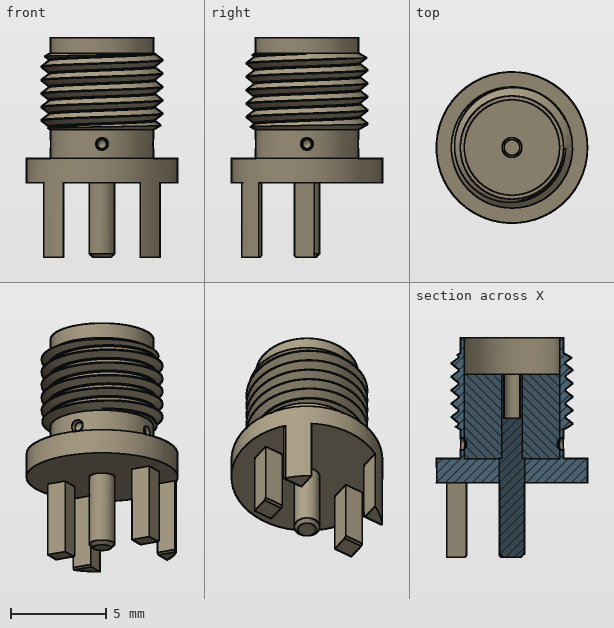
import cadquery as cq
import math

TOTAL_HEIGHT = 11.51
FLANGE_BOTTOM = 3.9
FLANGE_TOP = 5.18
THREAD_BOTTOM = 6.69
THREAD_TOP = 10.7
INSULATOR_TOP = 9.6
DIMPLE_HEIGHT = 5.94

FLANGE_RADIUS = 7.93 / 2
BARREL_RADIUS = 2.7
BORE_RADIUS = 2.5

THREAD_RADIUS = 3.18
ROOT_RADIUS = 2.81
PITCH = 0.7
CREST_WIDTH = 0.05
ROOT_WIDTH = 0.08
FIRST_CREST = 6.83
END_CHAMFER_ANGLE = 30
RIDGE_SINK = 0.03

DIMPLE_RADIUS = 0.32
DIMPLE_COUNT = 4

LEG_WIDTH = 1.05
LEG_INNER_X = 2.0
BOARD_GAP_FRONT = -2.37
BOARD_GAP_BACK = -0.67
LEG_CHAMFER = 0.1

PIN_RADIUS = 0.67
PIN_TIP_CHAMFER = 0.2
SOCKET_OUTER_RADIUS = 0.52
SOCKET_BORE_RADIUS = 0.41
SOCKET_DEPTH = 2.3


def cylinder(radius, bottom, top):
    return cq.Workplane("XY").workplane(offset=bottom).circle(radius).extrude(top - bottom)


def thread_envelope():
    """Solid rod of crest diameter, sloping down to the barrel at both ends of the thread."""
    slope_height = (THREAD_RADIUS - BARREL_RADIUS) * math.tan(math.radians(END_CHAMFER_ANGLE))
    return (
        cq.Workplane("YZ")
        .moveTo(0, THREAD_BOTTOM)
        .lineTo(BARREL_RADIUS, THREAD_BOTTOM)
        .lineTo(THREAD_RADIUS, THREAD_BOTTOM + slope_height)
        .lineTo(THREAD_RADIUS, THREAD_TOP - slope_height)
        .lineTo(BARREL_RADIUS, THREAD_TOP)
        .lineTo(0, THREAD_TOP)
        .close()
        .revolve(360, (0, 0, 0), (0, 1, 0))
    )


def thread_ridge():
    """Right-handed V ridge, rooted inside the core, that runs past both ends of the thread."""
    start = FIRST_CREST - PITCH
    length = PITCH * (math.ceil((THREAD_TOP - start) / PITCH) + 1)
    half_crest = CREST_WIDTH / 2
    half_root = (PITCH - ROOT_WIDTH) / 2
    flank_slope = (half_root - half_crest) / (THREAD_RADIUS - ROOT_RADIUS)
    half_base = half_root + flank_slope * RIDGE_SINK
    base_radius = ROOT_RADIUS - RIDGE_SINK
    corners = [
        (base_radius, start - half_base),
        (THREAD_RADIUS, start - half_crest),
        (THREAD_RADIUS, start + half_crest),
        (base_radius, start + half_base),
    ]
    helices = [cq.Wire.makeHelix(PITCH, length, radius, cq.Vector(0, 0, z)) for radius, z in corners]
    faces = [
        cq.Face.makeRuledSurface(helix, next_helix)
        for helix, next_helix in zip(helices, helices[1:] + helices[:1])
    ]
    for rise in (0, length):
        section = [cq.Vector(radius, 0, z + rise) for radius, z in corners]
        faces.append(cq.Face.makeFromWires(cq.Wire.makePolygon(section, close=True)))
    return cq.Workplane(obj=cq.Solid.makeSolid(cq.Shell.makeShell(faces)).fix())


def crimp_dimples():
    """Balls centered on the barrel surface, pressed through the wall into the insulator."""
    return (
        cq.Workplane("XY")
        .workplane(offset=DIMPLE_HEIGHT)
        .polarArray(BARREL_RADIUS, 0, 360, DIMPLE_COUNT)
        .sphere(DIMPLE_RADIUS)
    )


def leg(side, inner_y, outward):
    """One leg; outward is the Y direction from the board gap, side is the sign of X."""
    center_x = side * (LEG_INNER_X + LEG_WIDTH / 2)
    bar = (
        cq.Workplane("XY")
        .center(center_x, inner_y + outward * LEG_WIDTH / 2)
        .rect(LEG_WIDTH, LEG_WIDTH)
        .extrude(FLANGE_BOTTOM)
    )
    gap_face = "<Y" if outward > 0 else ">Y"
    bar = bar.faces(gap_face).edges("<Z").chamfer(LEG_CHAMFER)
    return bar.intersect(cylinder(FLANGE_RADIUS, 0, FLANGE_BOTTOM))


def make_threaded_ring():
    """Core and ridge trimmed to the tapered envelope, then bored."""
    core = cylinder(ROOT_RADIUS, THREAD_BOTTOM - PITCH, THREAD_TOP + PITCH)
    ring = core.union(thread_ridge(), clean=False).intersect(thread_envelope(), clean=False)
    return ring.cut(cylinder(BORE_RADIUS, THREAD_BOTTOM, THREAD_TOP), clean=False)


def make_housing():
    body = cylinder(FLANGE_RADIUS, FLANGE_BOTTOM, FLANGE_TOP)
    for side in (-1, 1):
        body = body.union(leg(side, BOARD_GAP_FRONT, -1))
        body = body.union(leg(side, BOARD_GAP_BACK, 1))
    body = body.union(cylinder(BARREL_RADIUS, FLANGE_TOP, TOTAL_HEIGHT))
    body = body.cut(cylinder(BORE_RADIUS, FLANGE_TOP, TOTAL_HEIGHT))
    body = body.cut(cylinder(PIN_RADIUS, FLANGE_BOTTOM, FLANGE_TOP))
    body = body.cut(crimp_dimples())
    return body.union(make_threaded_ring(), clean=False)


def make_insulator():
    body = cylinder(BORE_RADIUS, FLANGE_TOP, INSULATOR_TOP)
    body = body.cut(cylinder(SOCKET_OUTER_RADIUS, FLANGE_TOP, INSULATOR_TOP))
    return body.cut(crimp_dimples())


def make_contact():
    pin = cylinder(PIN_RADIUS, 0, FLANGE_TOP).faces("<Z").chamfer(PIN_TIP_CHAMFER)
    body = pin.union(cylinder(SOCKET_OUTER_RADIUS, FLANGE_TOP, INSULATOR_TOP))
    return body.cut(cylinder(SOCKET_BORE_RADIUS, INSULATOR_TOP - SOCKET_DEPTH, INSULATOR_TOP))


housing = make_housing()
insulator = make_insulator()
contact = make_contact()

result = cq.Compound.makeCompound([housing.val(), insulator.val(), contact.val()])